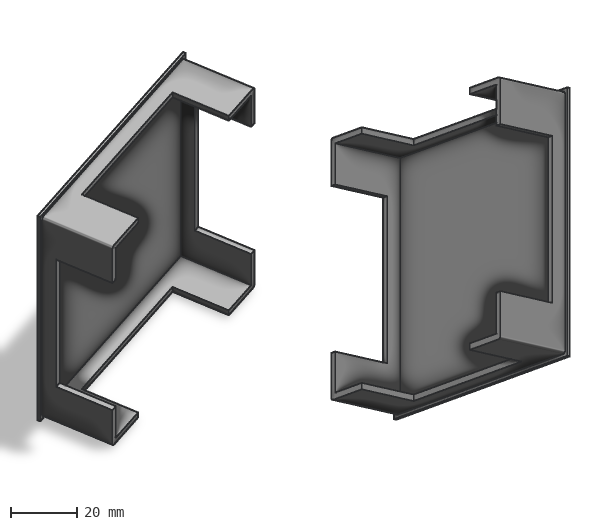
import cadquery as cq

plate_side = 84.9
plate_thickness = 1.0
total_depth = 26.0

rim = 1.0
wall_thickness = 2.0
corner_radius = 1.0
frame_side = plate_side - 2 * rim
frame_depth = total_depth - plate_thickness

notch_width = 52.8
notch_start = 6.0
notch_depth = total_depth - notch_start


def block(x_start, depth, width, height):
    """Box centred on the X axis, starting at x_start."""
    return cq.Workplane("XY").box(depth, width, height, centered=(False, True, True)).translate((x_start, 0, 0))


def wall_frame():
    """Square tube with rounded outer corners and a hollow centre."""
    cavity_side = frame_side - 2 * wall_thickness
    outer = block(plate_thickness, frame_depth, frame_side, frame_side).edges("|X").fillet(corner_radius)
    cavity = block(plate_thickness, frame_depth, cavity_side, cavity_side)
    return outer.cut(cavity)


plate = block(0, plate_thickness, plate_side, plate_side)
side_notch = block(notch_start, notch_depth, plate_side, notch_width)
top_notch = block(notch_start, notch_depth, notch_width, plate_side)
legs = wall_frame().cut(side_notch).cut(top_notch)

result = plate.union(legs)